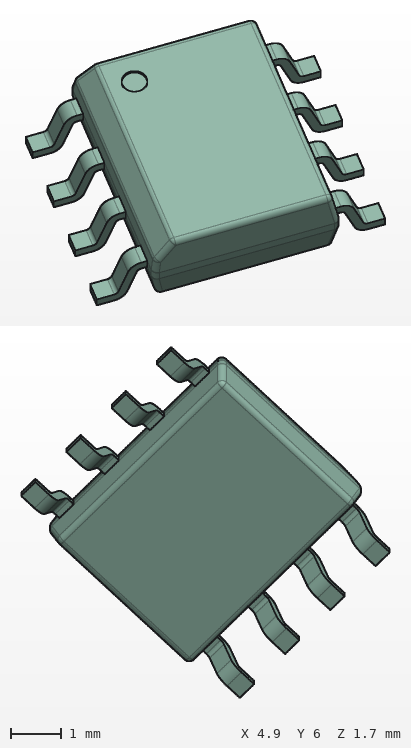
import cadquery as cq
import math

body_length = 4.9
body_width = 3.9
body_bottom = 0.1
body_top = 1.7
draft_angle = 10.0
edge_radius = 0.125
chamfer_size = 0.4

lead_span = 6.0
lead_thickness = 0.2
lead_width = 0.4
lead_pitch = 1.27
leads_per_side = 4
foot_length = 0.36
bend_angle = math.radians(70)
bend_inner_radius = 0.095

mark_x = -1.63
mark_y = -0.905
mark_radius = 0.25
mark_depth = 0.05

body_middle = (body_bottom + body_top) / 2
belt_bottom = body_middle - lead_thickness / 2
belt_top = body_middle + lead_thickness / 2

tolerance = 0.0005


def drafted_half(height, z):
    """Half of the body, narrowing away from the belt face at z; a negative height goes down."""
    plane = cq.Workplane("XY").workplane(offset=z)
    return plane.rect(body_length, body_width).extrude(height, taper=draft_angle)


def is_belt_line(edge):
    """True for the level edges where the belt meets the drafted walls."""
    box = edge.BoundingBox()
    return any(
        abs(box.zmin - z) < tolerance and abs(box.zmax - z) < tolerance
        for z in (belt_bottom, belt_top)
    )


def make_body():
    """Drafted body with a bevelled top edge and rounded edges, keeping the belt lines sharp."""
    belt_plane = cq.Workplane("XY").workplane(offset=belt_bottom)
    belt = belt_plane.rect(body_length, body_width).extrude(belt_top - belt_bottom)
    upper = drafted_half(body_top - belt_top, belt_top)
    lower = drafted_half(body_bottom - belt_bottom, belt_bottom)
    body = belt.union(upper).union(lower)

    bevel_z = body_top - chamfer_size
    bevel_y = -body_width / 2 + (bevel_z - belt_top) * math.tan(math.radians(draft_angle))
    bevel = (
        cq.Workplane("YZ")
        .moveTo(bevel_y - chamfer_size, bevel_z - chamfer_size)
        .lineTo(bevel_y + 2 * chamfer_size, bevel_z + 2 * chamfer_size)
        .lineTo(bevel_y - chamfer_size, bevel_z + 2 * chamfer_size)
        .close()
        .extrude(body_length, both=True)
    )
    body = body.cut(bevel)

    rounded = body.edges().filter(lambda edge: not is_belt_line(edge))
    return rounded.fillet(edge_radius)


def make_lead():
    """Gull-wing lead on the +Y side, from the body's centre plane out to the foot."""
    radius = bend_inner_radius + lead_thickness / 2
    arc_run = radius * math.sin(bend_angle)
    arc_drop = radius * (1 - math.cos(bend_angle))
    foot_z = lead_thickness / 2
    foot_y = lead_span / 2 - foot_length
    slope_drop = body_middle - foot_z - 2 * arc_drop
    slope_run = slope_drop / math.tan(bend_angle)
    shoulder_y = foot_y - 2 * arc_run - slope_run
    centre_line = (
        cq.Workplane("YZ")
        .moveTo(0, body_middle)
        .lineTo(shoulder_y, body_middle)
        .tangentArcPoint((arc_run, -arc_drop))
        .line(slope_run, -slope_drop)
        .tangentArcPoint((arc_run, -arc_drop))
        .lineTo(lead_span / 2, foot_z)
    )
    section = cq.Workplane("XZ", origin=(0, 0, body_middle)).rect(lead_width, lead_thickness)
    return section.sweep(centre_line)


def make_leads():
    """Evenly spaced leads along X, each running through the body to both sides."""
    lead = make_lead()
    pair = lead.union(lead.mirror("XZ"))
    leads = cq.Workplane("XY")
    for i in range(leads_per_side):
        x = (i - (leads_per_side - 1) / 2) * lead_pitch
        leads = leads.add(pair.translate((x, 0, 0)))
    return leads.combine()


def make_mark():
    """Shallow round recess in the top face beside pin 1."""
    top_plane = cq.Workplane("XY", origin=(mark_x, mark_y, body_top))
    return top_plane.circle(mark_radius).extrude(-mark_depth)


result = make_body().union(make_leads()).cut(make_mark())